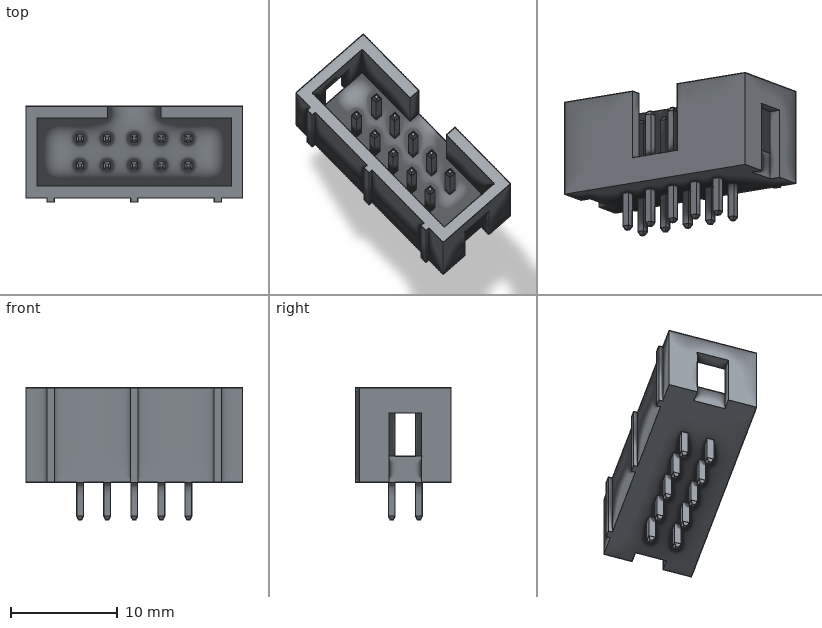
import cadquery as cq

length = 20.3
depth = 8.6
height = 8.9
end_wall = 1.05
side_wall = 1.12
floor_thickness = 2.45

notch_width = 5.0

slot_width = 3.05
slot_top = 6.5

rib_width = 0.7
rib_height = 0.39
rib_spacing = 7.84

pin_columns = 5
pin_rows = 2
pin_pitch = 2.54
pin_width = 0.65
tip_width = 0.28
tip_length = 0.35
pin_bottom = -3.51
pin_top = 7.57


def box(size_x, size_y, z_low, z_high):
    """Box centred on X and Y between two heights."""
    return cq.Workplane("XY").workplane(offset=z_low).rect(size_x, size_y).extrude(z_high - z_low)


def make_shroud():
    shroud = box(length, depth, 0, height)
    cavity = box(length - 2 * end_wall, depth - 2 * side_wall, floor_thickness, height)
    notch = box(notch_width, side_wall, floor_thickness, height)
    shroud = shroud.cut(cavity).cut(notch.translate((0, (depth - side_wall) / 2, 0)))
    end_slot = box(end_wall, slot_width, 0, slot_top)
    for side in (-1, 1):
        shroud = shroud.cut(end_slot.translate((side * (length - end_wall) / 2, 0, 0)))
    return shroud


def make_rib(x):
    rib_depth = rib_height + side_wall / 2
    y = -depth / 2 - rib_height + rib_depth / 2
    return box(rib_width, rib_depth, 0, height).translate((x, y, 0))


def make_tip(z_base, z_end):
    """Truncated pyramid from the full pin width at z_base to the tip width at z_end."""
    return (
        cq.Workplane("XY")
        .workplane(offset=z_base)
        .rect(pin_width, pin_width)
        .workplane(offset=z_end - z_base)
        .rect(tip_width, tip_width)
        .loft(combine=True)
    )


def make_pin():
    shank_bottom = pin_bottom + tip_length
    shank_top = pin_top - tip_length
    shank = box(pin_width, pin_width, shank_bottom, shank_top)
    return shank.union(make_tip(shank_top, pin_top)).union(make_tip(shank_bottom, pin_bottom))


result = make_shroud()

for rib_x in (-rib_spacing, 0, rib_spacing):
    result = result.union(make_rib(rib_x))

pin = make_pin()
for column in range(pin_columns):
    for row in range(pin_rows):
        pin_x = (column - (pin_columns - 1) / 2) * pin_pitch
        pin_y = (row - (pin_rows - 1) / 2) * pin_pitch
        result = result.union(pin.translate((pin_x, pin_y, 0)))